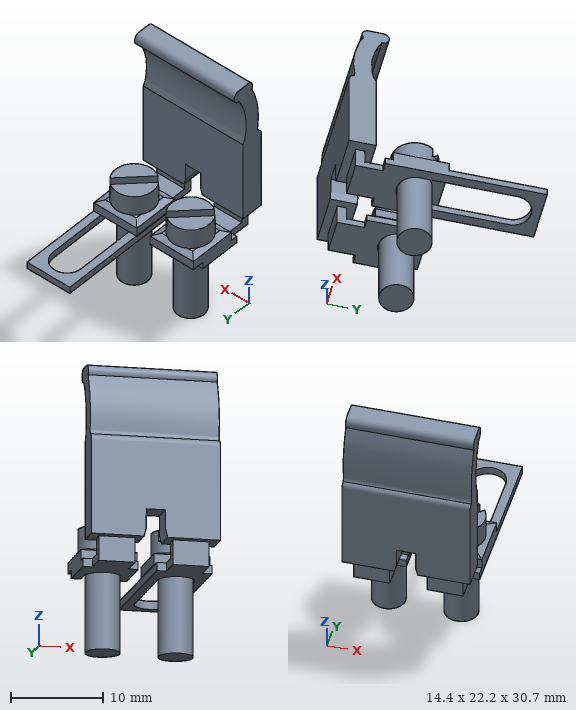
import cadquery as cq
import math


handle_width = 14.4
body_depth = 3.03
body_bottom = 2.75
handle_top = 22.1

grip_center_y = 11.13
grip_center_z = 16.18
grip_front_radius = 10.65
grip_back_radius = 8.6
rim_radius = 0.8
rim_front_y = 2.25
rim_back_y = 3.7
front_shoulder_z = 13.3
front_shoulder_radius = 0.77
shoulder_blend_y = 0.45
front_blend_top_z = 14.55
back_shoulder_z = 13.67
grip_back_bottom_z = 14.37

notch_width = 2.15
notch_top = 5.82
notch_flare = 0.25
notch_flare_height = 0.92

plate_thickness = 0.92
plate_width = 6.15
plate_center_x = (handle_width - plate_width) / 2
slot_width = 4.05
tab_width = slot_width
tab_front_y = 0.98
tab_thickness = 1.05
tab_step_y = 4.05
long_plate_end_y = 22.2
short_plate_end_y = 9.65
slot_end_margin = 1.05

washer_size = 6.25
washer_top_size = 4.47
washer_edge_height = 1.2
washer_taper_height = 0.37
screw_x = (handle_width - washer_size) / 2
screw_y = 8.1
shank_diameter = 3.83
shank_bottom = -8.55
head_diameter = 5.35
head_top = 5.18
drive_width = 1.05
drive_depth = 1.23
drive_angle = 45


def box(x_range, y_range, z_range):
    """Box between the given limits."""
    (x0, x1), (y0, y1), (z0, z1) = x_range, y_range, z_range
    return cq.Workplane("XY").box(x1 - x0, y1 - y0, z1 - z0, centered=False).translate((x0, y0, z0))


def grip_arc_point(radius, z):
    """(Y, Z) point of a grip arc at height z."""
    return (grip_center_y - math.sqrt(radius**2 - (z - grip_center_z) ** 2), z)


def make_handle():
    """Grip body with rounded rim and notched lower edge."""
    rim_z = handle_top - rim_radius
    rim_bottom = rim_z - rim_radius
    eighth_turn = math.radians(45)
    blend_z = front_shoulder_z + math.sqrt(
        front_shoulder_radius**2 - (front_shoulder_radius - shoulder_blend_y) ** 2
    )
    shoulder_middle = (
        front_shoulder_radius * (1 - math.cos(eighth_turn)),
        front_shoulder_z + front_shoulder_radius * math.sin(eighth_turn),
    )
    blade = (
        cq.Workplane("YZ")
        .moveTo(body_depth, body_bottom)
        .lineTo(body_depth, back_shoulder_z)
        .lineTo(*grip_arc_point(grip_back_radius, grip_back_bottom_z))
        .threePointArc(
            grip_arc_point(grip_back_radius, grip_center_z),
            grip_arc_point(grip_back_radius, rim_bottom),
        )
        .lineTo(*grip_arc_point(grip_front_radius, rim_z))
        .threePointArc(
            grip_arc_point(grip_front_radius, grip_center_z),
            grip_arc_point(grip_front_radius, front_blend_top_z),
        )
        .tangentArcPoint((shoulder_blend_y, blend_z), relative=False)
        .threePointArc(shoulder_middle, (0, front_shoulder_z))
        .lineTo(0, body_bottom)
        .close()
        .extrude(handle_width / 2, both=True)
    )
    rim = (
        cq.Workplane("YZ")
        .center((rim_front_y + rim_back_y) / 2, rim_z)
        .slot2D(rim_back_y - rim_front_y + 2 * rim_radius, 2 * rim_radius)
        .extrude(handle_width / 2, both=True)
    )
    half_notch = notch_width / 2
    half_mouth = half_notch + notch_flare
    flare_top = body_bottom + notch_flare_height
    notch = (
        cq.Workplane("XZ")
        .moveTo(-half_mouth, body_bottom)
        .lineTo(-half_notch, flare_top)
        .lineTo(-half_notch, notch_top)
        .lineTo(half_notch, notch_top)
        .lineTo(half_notch, flare_top)
        .lineTo(half_mouth, body_bottom)
        .close()
        .extrude(-body_depth)
    )
    return blade.union(rim).cut(notch)


def make_plate(side, end_y, slot_center_end_y):
    """Slotted plate and its tab; side is -1 for the left plate and 1 for the right one."""
    x = side * plate_center_x
    plate_x = (x - plate_width / 2, x + plate_width / 2)
    tab_x = (x - tab_width / 2, x + tab_width / 2)
    thickness = (0, plate_thickness)
    plate = (
        box(plate_x, (tab_step_y, end_y), thickness)
        .union(box(tab_x, (tab_front_y, tab_step_y), thickness))
        .union(box(tab_x, (tab_front_y, tab_front_y + tab_thickness), (0, body_bottom)))
    )
    slot = (
        cq.Workplane("XY")
        .center(x, (screw_y + slot_center_end_y) / 2)
        .slot2D(slot_center_end_y - screw_y + slot_width, slot_width, 90)
        .extrude(plate_thickness)
    )
    return plate.cut(slot)


def make_screw(side):
    """Slotted cheese-head screw with its tapered square washer."""
    washer_edge_top = plate_thickness + washer_edge_height
    head_bottom = washer_edge_top + washer_taper_height
    washer_edge = (
        cq.Workplane("XY", origin=(0, 0, plate_thickness))
        .rect(washer_size, washer_size)
        .extrude(washer_edge_height)
    )
    washer_taper = (
        cq.Workplane("XY", origin=(0, 0, washer_edge_top))
        .rect(washer_size, washer_size)
        .workplane(offset=washer_taper_height)
        .rect(washer_top_size, washer_top_size)
        .loft(ruled=True)
    )
    head = (
        cq.Workplane("XY", origin=(0, 0, head_bottom))
        .circle(head_diameter / 2)
        .extrude(head_top - head_bottom)
    )
    drive_slot = (
        cq.Workplane("XY", origin=(0, 0, head_top))
        .transformed(rotate=(0, 0, drive_angle))
        .rect(2 * head_diameter, drive_width)
        .extrude(-drive_depth)
    )
    shank = (
        cq.Workplane("XY", origin=(0, 0, shank_bottom))
        .circle(shank_diameter / 2)
        .extrude(plate_thickness - shank_bottom)
    )
    screw = head.cut(drive_slot).union(washer_taper).union(washer_edge).union(shank)
    return screw.translate((side * screw_x, screw_y, 0))


long_slot_end = long_plate_end_y - slot_end_margin - slot_width / 2
short_slot_end = short_plate_end_y + slot_width / 2

result = (
    make_handle()
    .union(make_plate(-1, short_plate_end_y, short_slot_end))
    .union(make_plate(1, long_plate_end_y, long_slot_end))
    .union(make_screw(-1))
    .union(make_screw(1))
)